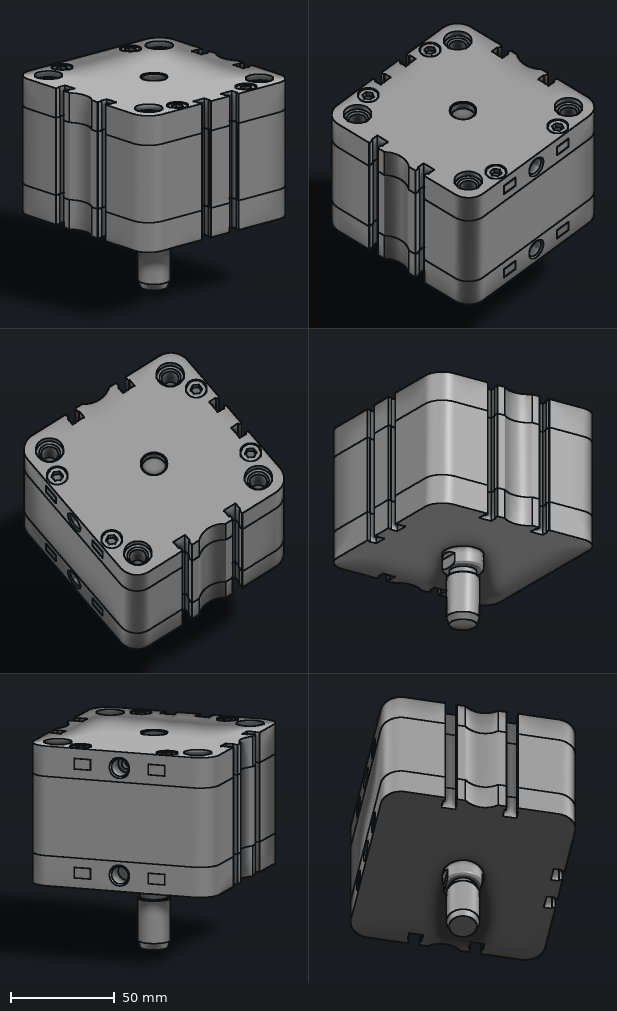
import cadquery as cq
import math


WIDTH = 95.5
HALF_WIDTH = WIDTH / 2
CORNER_RADIUS = 10.0
BLOCK_HEIGHT = 69.0
OVERALL_LENGTH = 106.0
CAP_HEIGHT = 14.9
BARREL_HEIGHT = BLOCK_HEIGHT - 2 * CAP_HEIGHT

MOUTH_WIDTH = 5.5
MOUTH_CHAMFER = 0.2
SIDE_SLOT_OFFSET = 15.0
SIDE_SLOT_WIDTH = 6.9
SIDE_SLOT_DEPTH = 6.6
CAP_SIDE_LIP = 2.5
BARREL_SIDE_LIP = 3.0
END_SLOT_OFFSET = 9.0
END_LIP = 1.7
CAP_END_SLOT_WIDTH = 7.1
CAP_END_SLOT_DEPTH = 5.6
BARREL_END_SLOT_WIDTH = 6.5
BARREL_END_SLOT_DEPTH = 5.2

CHANNEL_RADIUS = 25.0 / 2
CHANNEL_WIDTH = 16.0
CHANNEL_EDGE_FILLET = 0.5

MOUNT_OFFSET = 36.0
MOUNT_BORE = 13.5
MOUNT_BORE_DEPTH = 3.0
MOUNT_MOUTH = 10.3
MOUNT_HOLE = 8.4
MOUNT_DEPTH = 13.8

SCREW_X = 41.5
SCREW_Y = 22.3
SCREW_RECESS = 10.3
SCREW_HEAD = 9.8
SCREW_HEAD_DROP = 0.5
SCREW_GAP_DEPTH = 1.1
SOCKET_FLATS = 5.0
SOCKET_DEPTH = 2.6

CENTRE_HOLE = 12.0
CENTRE_CHAMFER = 0.5
CENTRE_DEPTH = 4.0

PORT_HEIGHT = 8.0
PORT_MOUTH = 10.3
PORT_HOLE = 8.6
PORT_DEPTH = 10.0
AIR_PASSAGE = 5.0
AIR_PASSAGE_DEPTH = 14.8
MARKING_OFFSET = 19.1
MARKING_HEIGHT = 7.6
MARKING_SIZE = (8.4, 5.2)
MARKING_DEPTH = 0.2

COLLAR_DIAMETER = 20.0
COLLAR_LENGTH = 9.1
COLLAR_FILLET = 2.0
FLAT_SPACING = 17.0
FLAT_TOP = -3.2
NECK_DIAMETER = 13.5
THREAD_DIAMETER = 16.0
THREAD_START = 12.1
THREAD_CHAMFER = 0.5
TIP_DIAMETER = NECK_DIAMETER
TIP_CHAMFER_LENGTH = 3.5
ROD_LENGTH = OVERALL_LENGTH - BLOCK_HEIGHT


def t_slot(width, depth, lip, height):
    """T-slot cutter opening toward +Y at the +Y face, centred on X = 0."""
    half_mouth = MOUTH_WIDTH / 2
    half_width = width / 2
    return (
        cq.Workplane("XY")
        .moveTo(-half_mouth - MOUTH_CHAMFER, HALF_WIDTH)
        .lineTo(-half_mouth, HALF_WIDTH - MOUTH_CHAMFER)
        .lineTo(-half_mouth, HALF_WIDTH - lip)
        .lineTo(-half_width, HALF_WIDTH - lip)
        .lineTo(-half_width, HALF_WIDTH - depth)
        .lineTo(half_width, HALF_WIDTH - depth)
        .lineTo(half_width, HALF_WIDTH - lip)
        .lineTo(half_mouth, HALF_WIDTH - lip)
        .lineTo(half_mouth, HALF_WIDTH - MOUTH_CHAMFER)
        .lineTo(half_mouth + MOUTH_CHAMFER, HALF_WIDTH)
        .close()
        .extrude(height)
    )


def block(height, side_lip, end_slot_width, end_slot_depth, channel_fillet=None):
    """Rounded square block standing on Z = 0, with channels and T-slots along its full height."""
    body = cq.Workplane("XY").rect(WIDTH, WIDTH).extrude(height).edges("|Z").fillet(CORNER_RADIUS)

    channel_axis = HALF_WIDTH + math.sqrt(CHANNEL_RADIUS**2 - (CHANNEL_WIDTH / 2) ** 2)
    for side in (1, -1):
        channel = cq.Workplane("XY").center(0, side * channel_axis).circle(CHANNEL_RADIUS).extrude(height)
        body = body.cut(channel)
    if channel_fillet:
        middle = cq.selectors.BoxSelector((-CHANNEL_WIDTH, -WIDTH, 0), (CHANNEL_WIDTH, WIDTH, height))
        body = body.edges("|Z").edges(middle).fillet(channel_fillet)

    side_slot = t_slot(SIDE_SLOT_WIDTH, SIDE_SLOT_DEPTH, side_lip, height)
    end_slot = t_slot(end_slot_width, end_slot_depth, END_LIP, height).rotate((0, 0, 0), (0, 0, 1), -90)
    for sign in (1, -1):
        placed_slot = side_slot.translate((sign * SIDE_SLOT_OFFSET, 0, 0))
        body = body.cut(placed_slot).cut(placed_slot.mirror("XZ"))
        body = body.cut(end_slot.translate((0, sign * END_SLOT_OFFSET, 0)))
    return body


def chamfered_hole(diameter, mouth, depth):
    """Blind hole cutter pointing down from the origin, with a 45 degree chamfer at its mouth."""
    chamfer = (mouth - diameter) / 2
    return (
        cq.Workplane("XZ")
        .lineTo(mouth / 2, 0)
        .lineTo(diameter / 2, -chamfer)
        .lineTo(diameter / 2, -depth)
        .lineTo(0, -depth)
        .close()
        .revolve(360, (0, 0), (0, 1))
    )


def cap(outer_face, inward):
    """End cap with its outer face at Z = outer_face; inward is the Z direction into the block."""
    body = block(CAP_HEIGHT, CAP_SIDE_LIP, CAP_END_SLOT_WIDTH, CAP_END_SLOT_DEPTH)
    body = body.translate((0, 0, min(outer_face, outer_face + inward * CAP_HEIGHT)))

    port = chamfered_hole(PORT_HOLE, PORT_MOUTH, PORT_DEPTH).rotate((0, 0, 0), (0, 1, 0), -90)
    body = body.cut(port.translate((-HALF_WIDTH, 0, outer_face + inward * PORT_HEIGHT)))

    marking = cq.Workplane("XY").box(2 * MARKING_DEPTH, *MARKING_SIZE)
    for side in (1, -1):
        place = (-HALF_WIDTH, side * MARKING_OFFSET, outer_face + inward * MARKING_HEIGHT)
        body = body.cut(marking.translate(place))
    return body


def make_front_cap():
    rod_hole = cq.Workplane("XY").circle(COLLAR_DIAMETER / 2).extrude(CAP_HEIGHT)
    return cap(0, 1).cut(rod_hole)


def make_barrel():
    barrel = block(
        BARREL_HEIGHT, BARREL_SIDE_LIP, BARREL_END_SLOT_WIDTH, BARREL_END_SLOT_DEPTH, CHANNEL_EDGE_FILLET
    )
    return barrel.translate((0, 0, CAP_HEIGHT))


def make_rear_cap():
    body = cap(BLOCK_HEIGHT, -1)
    top = cq.Workplane("XY", origin=(0, 0, BLOCK_HEIGHT))

    mount_points = [(x, y) for x in (-MOUNT_OFFSET, MOUNT_OFFSET) for y in (-MOUNT_OFFSET, MOUNT_OFFSET)]
    body = body.cut(top.pushPoints(mount_points).circle(MOUNT_BORE / 2).extrude(-MOUNT_BORE_DEPTH))
    mount_hole = chamfered_hole(MOUNT_HOLE, MOUNT_MOUTH, MOUNT_DEPTH - MOUNT_BORE_DEPTH)
    for x, y in mount_points:
        body = body.cut(mount_hole.translate((x, y, BLOCK_HEIGHT - MOUNT_BORE_DEPTH)))

    screw_points = [(x, y) for x in (-SCREW_X, SCREW_X) for y in (-SCREW_Y, SCREW_Y)]
    body = body.cut(top.pushPoints(screw_points).circle(SCREW_RECESS / 2).extrude(-SCREW_HEAD_DROP))
    head_top = cq.Workplane("XY", origin=(0, 0, BLOCK_HEIGHT - SCREW_HEAD_DROP))
    gap = head_top.pushPoints(screw_points).circle(SCREW_RECESS / 2).circle(SCREW_HEAD / 2)
    body = body.cut(gap.extrude(-SCREW_GAP_DEPTH))
    socket = cq.Workplane("XY").polygon(6, SOCKET_FLATS, circumscribed=True).extrude(-SOCKET_DEPTH)
    for x, y in screw_points:
        body = body.cut(socket.translate((x, y, BLOCK_HEIGHT - SCREW_HEAD_DROP)))

    centre_hole = chamfered_hole(CENTRE_HOLE, CENTRE_HOLE + 2 * CENTRE_CHAMFER, CENTRE_DEPTH)
    body = body.cut(centre_hole.translate((0, 0, BLOCK_HEIGHT)))

    passage = (
        cq.Workplane("YZ", origin=(-HALF_WIDTH, 0, BLOCK_HEIGHT - PORT_HEIGHT))
        .circle(AIR_PASSAGE / 2)
        .extrude(AIR_PASSAGE_DEPTH)
    )
    return body.cut(passage)


def make_rod():
    collar = COLLAR_DIAMETER / 2
    neck = NECK_DIAMETER / 2
    thread = THREAD_DIAMETER / 2
    diagonal = COLLAR_FILLET * math.sqrt(0.5)
    rod = (
        cq.Workplane("XZ")
        .moveTo(0, CAP_HEIGHT)
        .lineTo(collar, CAP_HEIGHT)
        .lineTo(collar, COLLAR_FILLET - COLLAR_LENGTH)
        .threePointArc(
            (collar - COLLAR_FILLET + diagonal, COLLAR_FILLET - COLLAR_LENGTH - diagonal),
            (collar - COLLAR_FILLET, -COLLAR_LENGTH),
        )
        .lineTo(neck, -COLLAR_LENGTH)
        .lineTo(neck, -THREAD_START)
        .lineTo(thread - THREAD_CHAMFER, -THREAD_START)
        .lineTo(thread, -THREAD_START - THREAD_CHAMFER)
        .lineTo(thread, TIP_CHAMFER_LENGTH - ROD_LENGTH)
        .lineTo(TIP_DIAMETER / 2, -ROD_LENGTH)
        .lineTo(0, -ROD_LENGTH)
        .close()
        .revolve(360, (0, 0), (0, 1))
    )

    flat = FLAT_SPACING / 2
    flat_cut = (
        cq.Workplane("XZ")
        .moveTo(flat, -COLLAR_LENGTH)
        .lineTo(flat, FLAT_TOP)
        .lineTo(collar, FLAT_TOP + collar - flat)
        .lineTo(collar, -COLLAR_LENGTH)
        .close()
        .extrude(collar, both=True)
    )
    return rod.cut(flat_cut).cut(flat_cut.mirror("YZ"))


front_cap = make_front_cap()
barrel = make_barrel()
rear_cap = make_rear_cap()
rod = make_rod()

result = cq.Compound.makeCompound([front_cap.val(), barrel.val(), rear_cap.val(), rod.val()])